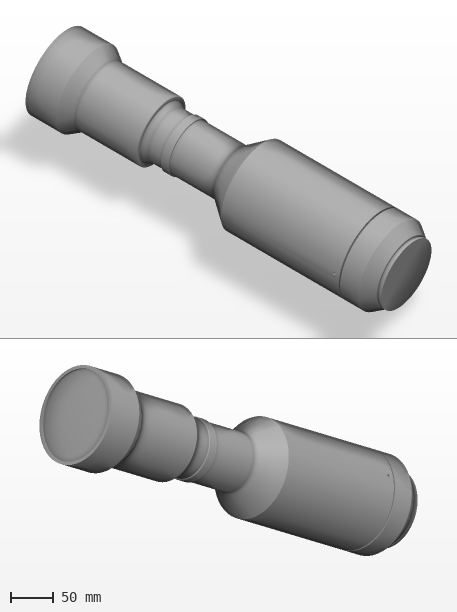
import cadquery as cq
import math

length = 517.5
body_radius = 123.5 / 2

head_radius = 60.0
head_end = 45.5
head_cone_end = 63.5
lens_radius = 56.0
lens_recess = 2.5
lens_bulge = 2.0

tube_radius = 94.5 / 2
tube_end = 154.5
tube_step_radius = 41.5

neck_radius = 37.0
neck_start = 163.5
neck_end = 260.0
ring_radius = 77.0 / 2
ring_start = 183.0
ring_end = 195.0

body_start = 291.0
body_end = 494.0
groove_start = 464.5
groove_width = 2.5
groove_depth = 3.0

rear_cone_end = 511.5
rear_cone_radius = 49.0
cap_neck_radius = 46.5
cap_radius = 48.0
cap_start = 514.5

corner_round = 1.5
ring_round = 1.0
rear_edge_round = 1.0
neck_blend = 4.0

screw_count = 3
screw_first_angle = 47
screw_position = 457.5
screw_diameter = 3.5
screw_depth = 3.0


def turned_body():
    """Revolve the outline, given as (distance behind the front, radius)."""
    groove_floor = body_radius - groove_depth
    groove_end = groove_start + groove_width
    outline = [
        (0, lens_radius),
        (0, head_radius),
        (head_end, head_radius),
        (head_cone_end, tube_radius),
        (tube_end, tube_radius),
        (tube_end, tube_step_radius),
        (neck_start, neck_radius),
        (ring_start, neck_radius),
        (ring_start, ring_radius),
        (ring_end, ring_radius),
        (ring_end, neck_radius),
        (neck_end, neck_radius),
        (body_start, body_radius),
        (groove_start, body_radius),
        (groove_start, groove_floor),
        (groove_end, groove_floor),
        (groove_end, body_radius),
        (body_end, body_radius),
        (rear_cone_end, rear_cone_radius),
        (rear_cone_end, cap_neck_radius),
        (cap_start, cap_neck_radius),
        (cap_start, cap_radius),
        (length, cap_radius),
        (length, 0),
    ]

    sphere_radius = (lens_radius**2 + lens_bulge**2) / (2 * lens_bulge)
    lens_apex = lens_recess - lens_bulge
    mid_radius = lens_radius / 2
    mid_drop = sphere_radius - math.sqrt(sphere_radius**2 - mid_radius**2)

    half_section = (
        cq.Workplane("XY", origin=(-length / 2, 0, 0))
        .moveTo(lens_apex, 0)
        .threePointArc((lens_apex + mid_drop, mid_radius), (lens_recess, lens_radius))
    )
    for distance, radius in outline:
        half_section = half_section.lineTo(distance, radius)
    return half_section.close().revolve(360, (0, 0, 0), (1, 0, 0))


def round_corner(body, distance, radius, rounding):
    """Round the circular edge at the given distance and radius."""
    x = distance - length / 2
    reach = 0.25
    corner = cq.selectors.BoxSelector(
        (x - reach, -radius - reach, -radius - reach),
        (x + reach, radius + reach, radius + reach),
        boundingbox=True,
    )
    outer_edge = cq.selectors.RadiusNthSelector(-1)
    return body.edges("%CIRCLE").edges(corner).edges(outer_edge).fillet(rounding)


def screw_hole(angle):
    """Cutter for one blind radial hole at the given angle."""
    return (
        cq.Workplane("XZ", origin=(screw_position - length / 2, 0, 0))
        .workplane(offset=-body_radius - screw_depth)
        .circle(screw_diameter / 2)
        .extrude(2 * screw_depth)
        .rotate((0, 0, 0), (1, 0, 0), angle)
    )


result = turned_body()

for distance, radius, rounding in [
    (head_end, head_radius, corner_round),
    (tube_end, tube_radius, corner_round),
    (ring_start, ring_radius, ring_round),
    (neck_end, neck_radius, neck_blend),
    (body_end, body_radius, corner_round),
    (rear_cone_end, rear_cone_radius, rear_edge_round),
]:
    result = round_corner(result, distance, radius, rounding)

for index in range(screw_count):
    result = result.cut(screw_hole(screw_first_angle + index * 360 / screw_count))